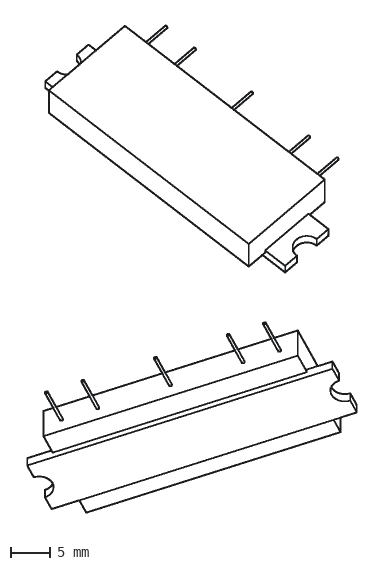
import cadquery as cq

flange_length = 42.0
flange_width = 8.0
flange_thickness = 1.43
notch_diameter = 3.6

body_length = 35.0
body_width = 14.0
body_bottom = 0.92
body_top = 5.8
body_height = body_top - body_bottom

lead_diameter = 0.4
lead_length = 5.0
lead_height = 3.0
lead_pitch = 5.0
lead_steps = (-3, -2, 0, 2, 3)


def make_flange():
    """Flat bar with a half-round screw notch in each end."""
    flange = cq.Workplane("XY").box(
        flange_length, flange_width, flange_thickness, centered=(True, True, False)
    )
    end_x = flange_length / 2
    notches = (
        cq.Workplane("XY")
        .pushPoints([(-end_x, 0), (end_x, 0)])
        .circle(notch_diameter / 2)
        .extrude(flange_thickness)
    )
    return flange.cut(notches)


def make_body():
    """Plain rectangular housing that the flange is sunk into."""
    return cq.Workplane("XY").workplane(offset=body_bottom).box(
        body_length, body_width, body_height, centered=(True, True, False)
    )


def make_leads():
    """Round leads along the +Y side, running from inside the housing to their tips."""
    lead_points = [(step * lead_pitch, lead_height) for step in lead_steps]
    tip_y = body_width / 2 + lead_length
    return cq.Workplane("XZ").pushPoints(lead_points).circle(lead_diameter / 2).extrude(-tip_y)


result = make_flange().union(make_body()).union(make_leads())